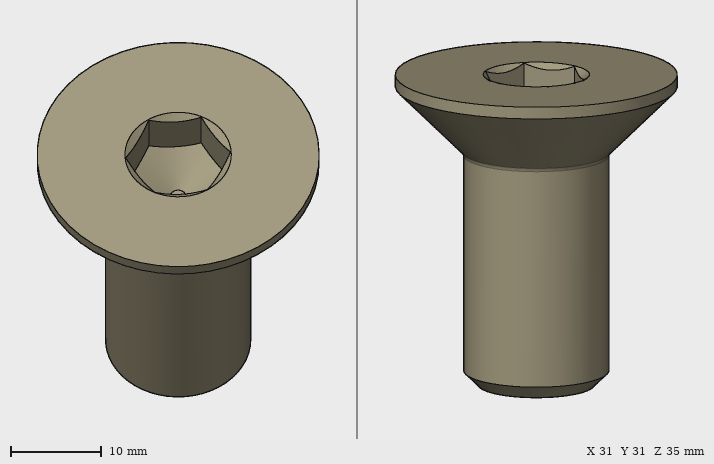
import cadquery as cq
import math

length = 35.0
head_diameter = 31.0
shank_diameter = 16.0
rim_height = 1.33
neck_fillet = 0.6
tip_chamfer = 1.58

socket_flats = 10.0
socket_corner_depth = 4.7
mouth_diameter = 11.7
mouth_angle = 38.0
floor_angle = 30.0
floor_flat_diameter = 1.68

head_radius = head_diameter / 2
shank_radius = shank_diameter / 2
rim_bottom = length - rim_height
neck_height = rim_bottom - (head_radius - shank_radius)
socket_corners = socket_flats / math.cos(math.radians(30))


def make_body():
    """Revolve the head, shank and chamfered tip about Z."""
    profile = [
        (0, 0),
        (shank_radius - tip_chamfer, 0),
        (shank_radius, tip_chamfer),
        (shank_radius, neck_height),
        (head_radius, rim_bottom),
        (head_radius, length),
        (0, length),
    ]
    body = cq.Workplane("XZ").polyline(profile).close().revolve(360, (0, 0), (0, 1))
    neck = cq.selectors.BoxSelector(
        (-head_radius, -head_radius, neck_height - neck_fillet),
        (head_radius, head_radius, neck_height + neck_fillet),
        boundingbox=False,
    )
    neck_edge = body.edges("%CIRCLE").edges(neck)
    return body.newObject(neck_edge.vals()).fillet(neck_fillet)


def make_cone(radius, end_radius, slope, top):
    """Cone narrowing downward from the given radius at height top."""
    drop = (radius - end_radius) * math.tan(math.radians(slope))
    profile = [(0, top), (radius, top), (end_radius, top - drop), (0, top - drop)]
    return cq.Workplane("XZ").polyline(profile).close().revolve(360, (0, 0), (0, 1))


def make_socket():
    """Hexagon with corners on X, a conical floor and a bevelled mouth."""
    floor_top = length - socket_corner_depth
    hexagon = (
        cq.Workplane("XY")
        .workplane(offset=floor_top)
        .polygon(6, socket_corners)
        .extrude(socket_corner_depth)
    )
    floor_prism = (
        cq.Workplane("XY").polygon(6, socket_corners).extrude(floor_top)
    )
    floor = make_cone(
        socket_corners / 2, floor_flat_diameter / 2, floor_angle, floor_top
    ).intersect(floor_prism)
    mouth = make_cone(mouth_diameter / 2, floor_flat_diameter / 2, mouth_angle, length)
    return hexagon.union(floor).union(mouth)


result = make_body().cut(make_socket())